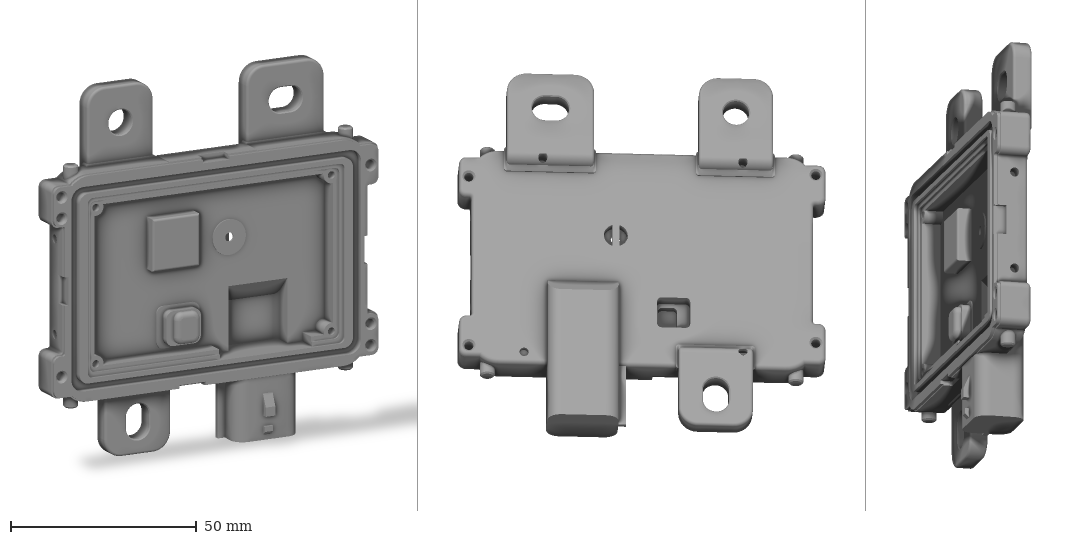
import cadquery as cq
import math

TURN_ANGLE = 50.0

FRONT_Y = -4.3
BACK_Y = 5.1
BODY_CENTER_Z = -1.2
BODY_WIDTH = 92.2
BODY_HEIGHT = 63.7
BODY_CORNER_RADIUS = 7.3
BACK_EDGE_RADIUS = 1.0
LIP_DEPTH = 0.9
LIP_INSET = 0.3
BODY_HALF_WIDTH = BODY_WIDTH / 2
BODY_TOP_Z = BODY_CENTER_Z + BODY_HEIGHT / 2
BODY_BOTTOM_Z = BODY_CENTER_Z - BODY_HEIGHT / 2

PANEL_X_RANGE = (-13.8, 12.8)
PANEL_RISE = 0.2

GROOVE_WIDTH, GROOVE_HEIGHT = 87.8, 57.2
RIM_WIDTH, RIM_HEIGHT = 82.8, 53.1
OPENING_WIDTH, OPENING_HEIGHT = 77.8, 50.4
STEP_WIDTH, STEP_HEIGHT = 75.5, 47.9
CAVITY_WIDTH, CAVITY_HEIGHT = 72.2, 45.1
GROOVE_RADIUS = 3.6
RIM_RADIUS = 2.6
OPENING_RADIUS = 1.6
GROOVE_DEPTH = 2.3
STEP_Y = -3.3
LEDGE_Y = -2.7
FLOOR_Y = 2.4
CAVITY_BOTTOM_Z = BODY_CENTER_Z - CAVITY_HEIGHT / 2
OPENING_BOTTOM_Z = BODY_CENTER_Z - OPENING_HEIGHT / 2

LUG_REACH = 49.4
LUG_ROOT = 41.6
LUG_CORNER_RADIUS = 1.9
LUG_INNER_RADIUS = 0.6
LUG_Z_RANGES = [(16.6, 28.4), (-31.1, -18.9)]
LUG_HOLE_X = 46.8
SMALL_HOLE_DIAMETER = 2.5
COUNTERSINK_DIAMETER = 3.5
LEFT_THROUGH_Z = [25.3, -25.0]
LEFT_BLIND_Z = [19.3]
RIGHT_THROUGH_Z = [22.4, -28.1]
RIGHT_BLIND_Z = [-22.1]
BLIND_DEPTH = 4.2

SIDE_HOLE_Y = 1.4
SIDE_HOLE_Z = [12.2, -14.6]
SIDE_HOLE_DEPTH = 4.2
NOTCH_LENGTH = 8.0
NOTCH_DEPTH = 1.2
NOTCH_BACK_Y = -0.9
BOTTOM_NOTCH_X = -7.1

PIN_DIAMETER = 4.1
PIN_X = 41.6
PIN_Y = 0.6
PIN_TOP_Z = 32.7
PIN_BOTTOM_Z = -35.2
PIN_CHAMFER = 0.4
PIN_ROOT = 5.2

TOP_TAB_FRONT_Y = 3.4
BOTTOM_TAB_FRONT_Y = 3.6
TAB_BACK_Y = 8.7
TAB_END_Z = 52.0
TAB_CORNER_RADIUS = 5.2
TAB_EDGE_RADIUS = 0.7
TAB_OVERLAP = 6.5
TAB_CURVE_RUN = 2.7
TAB_CURVE_RISE = 2.3
TAB_SLOPE_RUN = 1.5
FOOT_MARGIN = 0.6
FOOT_BACK_Y = 5.5
TAB_HOLE_DIAMETER = 7.1
TAB_HOLE_CHAMFER = 0.3
TAB_HOLE_INSET = 10.4
BOTTOM_HOLE_INSET = 9.2
SLOT_LENGTH = 10.0
NARROW_TAB_WIDTH = 20.0
WIDE_TAB_WIDTH = 23.5
LEFT_TAB_X = -25.1
RIGHT_TAB_X = 25.0
BOTTOM_TAB_X = -19.7

LOCATING_HOLES = [(-26.9, 27.0), (27.0, 27.0), (-26.9, -29.8), (31.9, -29.8)]
LOCATING_FLOOR_Y = 3.7

SHROUD_LEFT_X, SHROUD_RIGHT_X = 6.5, 25.7
SHROUD_FRONT_Y, SHROUD_BACK_Y = -3.6, 10.1
SHROUD_BOTTOM_Z = -50.6
SHROUD_EAVE_Z = -13.1
SHROUD_RADIUS = 3.6
SHROUD_ROOF_RISE = SHROUD_BACK_Y - BACK_Y
RECESS_LEFT_X, RECESS_RIGHT_X = 7.1, 25.0
RECESS_BACK_Y = 8.1
RECESS_RADIUS = 1.5
RECESS_EAVE_Z = -13.8
LEDGE_GAP_X_RANGE = (1.7, 29.5)
GUIDE_WIDTH = 2.1
GUIDE_Y_RANGE = (3.2, 4.7)

LATCH_LEFT_X = 14.5
LATCH_WIDTH = 2.9
LATCH_HEIGHT = 1.7
LATCH_TOP_Z = -37.6
LATCH_CREST_Z = -41.1
LATCH_BOTTOM_Z = -43.7
STOP_WIDTH = 2.5
STOP_HEIGHT = 1.1
STOP_TOP_Z = -46.6
STOP_CREST_Z = -48.1
STOP_BOTTOM_Z = -49.1

POST_X = 35.7
POST_Z = [20.6, -23.1]
POST_RADIUS = 2.3
POST_HOLE_DIAMETER = 2.1
POST_HOLE_DEPTH = 3.1

BLOCK_X_RANGE = (-17.8, -3.6)
BLOCK_Z_RANGE = (0.0, 14.6)
BLOCK_HEIGHT = 4.0
BLOCK_EDGE_RADIUS = 0.6

VENT_X, VENT_Z = 7.2, 5.7
VENT_PAD_DIAMETER = 10.0
VENT_PAD_HEIGHT = 0.4
VENT_RECESS_DIAMETER = 6.5
VENT_RECESS_FLOOR_Y = 2.5
VENT_BAR_WIDTH = 1.9
VENT_BAR_THICKNESS = 0.9

WINDOW_Z = -17.0
WINDOW_STEPS = [(-14.9, -1.9, 11.9, 2.0), (-13.1, -2.7, 9.8, -0.4)]
WINDOW_CAP = (-11.0, -3.5, 8.9, -2.3)
WINDOW_POCKETS = [(-12.9, -4.0, 8.9, 1.0), (-9.6, -4.4, 6.7, -1.0)]
WINDOW_STEP_RADIUS = 2.1
WINDOW_CAP_EDGE_RADIUS = 1.5
WINDOW_POCKET_RADIUS = 1.2


def block(x_range, y_range, z_range):
    """Box given by its limits on each axis."""
    size = [high - low for low, high in (x_range, y_range, z_range)]
    start = (x_range[0], y_range[0], z_range[0])
    return cq.Workplane("XY").box(*size, centered=False).translate(start)


def plate(x, z, width, height, y_range, radius):
    """Upright plate with rounded corners, centred at (x, z)."""
    front, back = y_range
    outline = cq.Workplane("XZ", origin=(x, back, z)).rect(width, height)
    return outline.extrude(back - front).edges("|Y").fillet(radius)


def rod_y(x, z, diameter, y_range):
    """Round rod running front to back."""
    front, back = y_range
    return cq.Workplane("XZ", origin=(x, back, z)).circle(diameter / 2).extrude(back - front)


def countersink(x, z, surface_y, inward):
    """Shallow cone that opens a small hole at a front or back surface."""
    depth = (COUNTERSINK_DIAMETER - SMALL_HOLE_DIAMETER) / 2
    cone = cq.Solid.makeCone(
        COUNTERSINK_DIAMETER / 2, SMALL_HOLE_DIAMETER / 2, depth,
        cq.Vector(x, surface_y, z), cq.Vector(0, inward, 0),
    )
    return cq.Workplane(cone)


def make_outline(inset, y_range):
    """Body outline with its four corner lugs, drawn in by an inset."""
    outline = plate(
        0, BODY_CENTER_Z, BODY_WIDTH - 2 * inset, BODY_HEIGHT - 2 * inset, y_range, BODY_CORNER_RADIUS,
    )
    outer_x = LUG_REACH - inset
    for low, high in LUG_Z_RANGES:
        for side in (-1, 1):
            lug = plate(
                side * (LUG_ROOT + outer_x) / 2, (low + high) / 2, outer_x - LUG_ROOT,
                high - low - 2 * inset, y_range, LUG_CORNER_RADIUS,
            )
            outline = outline.union(lug)
    upper_low, lower_high = LUG_Z_RANGES[0][0], LUG_Z_RANGES[1][1]
    side_x = BODY_HALF_WIDTH - inset
    for x in (-side_x, side_x):
        for z in (upper_low + inset, lower_high - inset):
            inner_corner = cq.selectors.NearestToPointSelector((x, sum(y_range) / 2, z))
            outline = outline.edges("|Y").edges(inner_corner).fillet(LUG_INNER_RADIUS)
    return outline


def make_shell():
    """Body with a thin, slightly smaller lip round the front and a softened back edge."""
    lip_back_y = FRONT_Y + LIP_DEPTH
    lip = make_outline(LIP_INSET, (FRONT_Y, lip_back_y))
    main = make_outline(0, (lip_back_y, BACK_Y))
    main = main.faces(">Y").edges().fillet(BACK_EDGE_RADIUS)
    panel = block(
        PANEL_X_RANGE, (lip_back_y, BACK_Y - BACK_EDGE_RADIUS),
        (BODY_TOP_Z - NOTCH_DEPTH, BODY_TOP_Z + PANEL_RISE),
    )
    return lip.union(main).union(panel)


def cut_front_opening(body):
    """Seal groove round a rim, then a stepped ledge and the deep cavity."""
    groove_range = (FRONT_Y, FRONT_Y + GROOVE_DEPTH)
    groove = plate(0, BODY_CENTER_Z, GROOVE_WIDTH, GROOVE_HEIGHT, groove_range, GROOVE_RADIUS)
    groove = groove.cut(plate(0, BODY_CENTER_Z, RIM_WIDTH, RIM_HEIGHT, groove_range, RIM_RADIUS))
    opening = plate(
        0, BODY_CENTER_Z, OPENING_WIDTH, OPENING_HEIGHT, (FRONT_Y, STEP_Y), OPENING_RADIUS,
    )
    step = plate(0, BODY_CENTER_Z, STEP_WIDTH, STEP_HEIGHT, (FRONT_Y, LEDGE_Y), OPENING_RADIUS)
    cavity = plate(
        0, BODY_CENTER_Z, CAVITY_WIDTH, CAVITY_HEIGHT, (FRONT_Y, FLOOR_Y), OPENING_RADIUS,
    )
    return body.cut(groove).cut(opening).cut(step).cut(cavity)


def cut_notches(body):
    """Rectangular notches in the front edge of all four walls."""
    notch_y = (FRONT_Y, NOTCH_BACK_Y)
    half = NOTCH_LENGTH / 2
    top = block((-half, half), notch_y, (BODY_TOP_Z - NOTCH_DEPTH, BODY_TOP_Z + PANEL_RISE))
    bottom = block(
        (BOTTOM_NOTCH_X - half, BOTTOM_NOTCH_X + half), notch_y,
        (BODY_BOTTOM_Z, BODY_BOTTOM_Z + NOTCH_DEPTH),
    )
    body = body.cut(top).cut(bottom)
    side_z = (BODY_CENTER_Z - half, BODY_CENTER_Z + half)
    inner_x = BODY_HALF_WIDTH - NOTCH_DEPTH
    body = body.cut(block((inner_x, BODY_HALF_WIDTH), notch_y, side_z))
    return body.cut(block((-BODY_HALF_WIDTH, -inner_x), notch_y, side_z))


def cut_lug_holes(body):
    """Through and blind screw holes in the lugs, each countersunk."""
    hole_sets = [
        (-LUG_HOLE_X, LEFT_THROUGH_Z, LEFT_BLIND_Z),
        (LUG_HOLE_X, RIGHT_THROUGH_Z, RIGHT_BLIND_Z),
    ]
    for x, through, blind in hole_sets:
        for z in through:
            body = body.cut(rod_y(x, z, SMALL_HOLE_DIAMETER, (FRONT_Y, BACK_Y)))
            body = body.cut(countersink(x, z, BACK_Y, -1))
        for z in blind:
            body = body.cut(rod_y(x, z, SMALL_HOLE_DIAMETER, (FRONT_Y, FRONT_Y + BLIND_DEPTH)))
        for z in through + blind:
            body = body.cut(countersink(x, z, FRONT_Y, 1))
    return body


def cut_side_holes(body):
    """Blind pilot holes in the left and right walls."""
    for z in SIDE_HOLE_Z:
        for side in (-1, 1):
            hole = cq.Solid.makeCylinder(
                SMALL_HOLE_DIAMETER / 2, SIDE_HOLE_DEPTH,
                cq.Vector(side * BODY_HALF_WIDTH, SIDE_HOLE_Y, z), cq.Vector(-side, 0, 0),
            )
            body = body.cut(cq.Workplane(hole))
    return body


def make_pins():
    """Four upright pins, two on the top wall and two on the bottom wall."""
    pin_positions = [(-PIN_X, PIN_Y), (PIN_X, PIN_Y)]
    upper = cq.Workplane("XY", origin=(0, 0, PIN_TOP_Z)).pushPoints(pin_positions)
    upper = upper.circle(PIN_DIAMETER / 2).extrude(-PIN_ROOT).faces(">Z").chamfer(PIN_CHAMFER)
    lower = cq.Workplane("XY", origin=(0, 0, PIN_BOTTOM_Z)).pushPoints(pin_positions)
    lower = lower.circle(PIN_DIAMETER / 2).extrude(PIN_ROOT).faces("<Z").chamfer(PIN_CHAMFER)
    return upper.union(lower)


def tab_hole(x, front_y, z, width, height):
    """Cutter for a round or slotted hole, flared at both tab faces."""
    depth = TAB_BACK_Y - front_y
    turn = 90 if height > width else 0
    length, diameter = max(width, height), min(width, height)

    def opening(plane, margin):
        sketch = cq.Workplane(plane)
        if math.isclose(width, height):
            return sketch.circle(diameter / 2 + margin)
        return sketch.slot2D(length + 2 * margin, diameter + 2 * margin, turn)

    back = cq.Plane((x, TAB_BACK_Y, z), (1, 0, 0), (0, -1, 0))
    front = cq.Plane((x, front_y, z), (1, 0, 0), (0, 1, 0))
    hole = opening(back, 0).extrude(depth)
    for plane in (back, front):
        hole = hole.union(opening(plane, TAB_HOLE_CHAMFER).extrude(TAB_HOLE_CHAMFER, taper=45))
    return hole


def make_tab(x, width, wall_z, front_y, hole_inset, hole_width, hole_height):
    """Upward mounting tab on a wall at wall_z, with a curved foot on the back and one hole."""
    foot_z = wall_z - TAB_OVERLAP
    half = width / 2
    curve_y = TAB_BACK_Y - TAB_CURVE_RISE
    curve_z = foot_z + TAB_SLOPE_RUN
    bulge = 1 - math.sqrt(0.5)
    curve_middle = (TAB_BACK_Y - TAB_CURVE_RISE * bulge, curve_z + TAB_CURVE_RUN * bulge)
    profile = cq.Workplane("YZ", origin=(x - half, 0, 0)).moveTo(front_y, foot_z)
    profile = profile.lineTo(FOOT_BACK_Y, foot_z).lineTo(curve_y, curve_z)
    profile = profile.threePointArc(curve_middle, (TAB_BACK_Y, curve_z + TAB_CURVE_RUN))
    profile = profile.lineTo(TAB_BACK_Y, TAB_END_Z).lineTo(front_y, TAB_END_Z).close()
    tab = profile.extrude(width).edges("|Y and >Z").fillet(TAB_CORNER_RADIUS)
    tab = tab.faces("<Y").edges("not <Z").fillet(TAB_EDGE_RADIUS)
    tab = tab.faces(">Y").edges("not <Z").fillet(TAB_EDGE_RADIUS)

    foot_reach = half + FOOT_MARGIN
    foot = block(
        (x - foot_reach, x + foot_reach), (front_y - FOOT_MARGIN, FOOT_BACK_Y),
        (foot_z, wall_z + FOOT_MARGIN),
    )
    foot = foot.edges("|Y").fillet(TAB_EDGE_RADIUS)
    return tab.union(foot).cut(tab_hole(x, front_y, TAB_END_Z - hole_inset, hole_width, hole_height))


def make_tabs():
    """Two tabs above the body and one below it."""
    left = make_tab(
        LEFT_TAB_X, NARROW_TAB_WIDTH, BODY_TOP_Z, TOP_TAB_FRONT_Y,
        TAB_HOLE_INSET, TAB_HOLE_DIAMETER, TAB_HOLE_DIAMETER,
    )
    right = make_tab(
        RIGHT_TAB_X, WIDE_TAB_WIDTH, BODY_TOP_Z, TOP_TAB_FRONT_Y,
        TAB_HOLE_INSET, SLOT_LENGTH, TAB_HOLE_DIAMETER,
    )
    bottom = make_tab(
        BOTTOM_TAB_X, NARROW_TAB_WIDTH, -BODY_BOTTOM_Z, BOTTOM_TAB_FRONT_Y,
        BOTTOM_HOLE_INSET, TAB_HOLE_DIAMETER, SLOT_LENGTH,
    )
    return left.union(right).union(bottom.mirror("XY"))


def roof_cut(back_y, eave_z):
    """Wedge that leaves a 45 degree roof rising from eave_z at back_y."""
    reach = BODY_HEIGHT
    corners = [(back_y, eave_z), (back_y - reach, eave_z + reach), (back_y, eave_z + reach)]
    return cq.Workplane("YZ").polyline(corners).close().extrude(BODY_WIDTH)


def make_shroud():
    """Connector shroud below the body, running up its back under a sloped roof."""
    y_range = (SHROUD_FRONT_Y, SHROUD_BACK_Y)
    x_range = (SHROUD_LEFT_X, SHROUD_RIGHT_X)
    plug = block(x_range, y_range, (SHROUD_BOTTOM_Z, BODY_BOTTOM_Z)).edges("|Z").fillet(SHROUD_RADIUS)
    spine = block(x_range, (FLOOR_Y, SHROUD_BACK_Y), (BODY_BOTTOM_Z, SHROUD_EAVE_Z + SHROUD_ROOF_RISE))
    spine = spine.edges("|Z and >Y").fillet(SHROUD_RADIUS)
    spine = spine.cut(roof_cut(SHROUD_BACK_Y, SHROUD_EAVE_Z))
    guide = block(
        (SHROUD_LEFT_X - GUIDE_WIDTH, SHROUD_LEFT_X + GUIDE_WIDTH), GUIDE_Y_RANGE,
        (SHROUD_BOTTOM_Z, BODY_BOTTOM_Z),
    )
    return plug.union(spine).union(guide)


def cut_shroud_recess(body):
    """Hollow behind the cavity floor that follows the shroud, and the gap it leaves in the ledge."""
    recess = block(
        (RECESS_LEFT_X, RECESS_RIGHT_X), (FRONT_Y, RECESS_BACK_Y),
        (OPENING_BOTTOM_Z, RECESS_EAVE_Z + RECESS_BACK_Y - FLOOR_Y),
    )
    recess = recess.edges("|Z and >Y").fillet(RECESS_RADIUS).cut(roof_cut(RECESS_BACK_Y, RECESS_EAVE_Z))
    gap = block(LEDGE_GAP_X_RANGE, (FRONT_Y, FLOOR_Y), (OPENING_BOTTOM_Z, CAVITY_BOTTOM_Z))
    return body.cut(recess).cut(gap)


def make_latches():
    """Latch wedge and smaller stop wedge on the front face of the shroud."""
    latch_y = SHROUD_FRONT_Y - LATCH_HEIGHT
    latch = [
        (SHROUD_FRONT_Y, LATCH_TOP_Z), (latch_y, LATCH_CREST_Z),
        (latch_y, LATCH_BOTTOM_Z), (SHROUD_FRONT_Y, LATCH_BOTTOM_Z),
    ]
    stop_y = SHROUD_FRONT_Y - STOP_HEIGHT
    stop = [
        (SHROUD_FRONT_Y, STOP_TOP_Z), (stop_y, STOP_TOP_Z),
        (stop_y, STOP_CREST_Z), (SHROUD_FRONT_Y, STOP_BOTTOM_Z),
    ]
    plane = cq.Workplane("YZ", origin=(LATCH_LEFT_X, 0, 0))
    wedge = plane.polyline(latch).close().extrude(LATCH_WIDTH)
    return wedge.union(plane.polyline(stop).close().extrude(STOP_WIDTH))


def add_screw_posts(body):
    """Posts in the four cavity corners with blind screw holes."""
    for x in (-POST_X, POST_X):
        for z in POST_Z:
            body = body.union(rod_y(x, z, 2 * POST_RADIUS, (LEDGE_Y, FLOOR_Y)))
            body = body.cut(rod_y(x, z, POST_HOLE_DIAMETER, (LEDGE_Y, LEDGE_Y + POST_HOLE_DEPTH)))
    return body


def make_floor_block():
    """Raised block with softened front edges."""
    raised = block(BLOCK_X_RANGE, (FLOOR_Y - BLOCK_HEIGHT, FLOOR_Y), BLOCK_Z_RANGE)
    return raised.faces("<Y").edges().fillet(BLOCK_EDGE_RADIUS)


def add_vent(body):
    """Round pad with a small through hole, backed by a round recess with a crossbar."""
    pad = rod_y(VENT_X, VENT_Z, VENT_PAD_DIAMETER, (FLOOR_Y - VENT_PAD_HEIGHT, FLOOR_Y))
    recess_range = (VENT_RECESS_FLOOR_Y, BACK_Y)
    recess = rod_y(VENT_X, VENT_Z, VENT_RECESS_DIAMETER, recess_range)
    half_bar = VENT_BAR_WIDTH / 2
    half_recess = VENT_RECESS_DIAMETER / 2
    bar = block(
        (VENT_X - half_bar, VENT_X + half_bar), (BACK_Y - VENT_BAR_THICKNESS, BACK_Y),
        (VENT_Z - half_recess, VENT_Z + half_recess),
    )
    hole = rod_y(VENT_X, VENT_Z, SMALL_HOLE_DIAMETER, (FLOOR_Y - VENT_PAD_HEIGHT, VENT_RECESS_FLOOR_Y))
    return body.union(pad).cut(recess.cut(bar)).cut(hole)


def add_window_frame(body):
    """Stepped frame rising from the floor, with a stepped pocket from the back."""
    for left, right, height, front in WINDOW_STEPS:
        step = plate(
            (left + right) / 2, WINDOW_Z, right - left, height, (front, FLOOR_Y), WINDOW_STEP_RADIUS,
        )
        body = body.union(step)
    left, right, height, front = WINDOW_CAP
    cap = plate(
        (left + right) / 2, WINDOW_Z, right - left, height, (front, FLOOR_Y), WINDOW_STEP_RADIUS,
    )
    body = body.union(cap.faces("<Y").edges().fillet(WINDOW_CAP_EDGE_RADIUS))
    for left, right, height, front in WINDOW_POCKETS:
        pocket = plate(
            (left + right) / 2, WINDOW_Z, right - left, height, (front, BACK_Y), WINDOW_POCKET_RADIUS,
        )
        body = body.cut(pocket)
    return body


def cut_locating_holes(body):
    """Blind round holes in the back and through the tab feet."""
    for x, z in LOCATING_HOLES:
        body = body.cut(rod_y(x, z, SMALL_HOLE_DIAMETER, (LOCATING_FLOOR_Y, TAB_BACK_Y)))
    return body


housing = cut_front_opening(make_shell())
housing = cut_notches(housing)
housing = cut_lug_holes(housing)
housing = cut_side_holes(housing)
housing = housing.union(make_pins()).union(make_tabs())
housing = housing.union(make_shroud()).union(make_latches())
housing = cut_shroud_recess(housing)
housing = add_screw_posts(housing)
housing = housing.union(make_floor_block())
housing = add_vent(housing)
housing = add_window_frame(housing)
housing = cut_locating_holes(housing)

result = housing.rotate((0, 0, 0), (0, 0, 1), TURN_ANGLE)